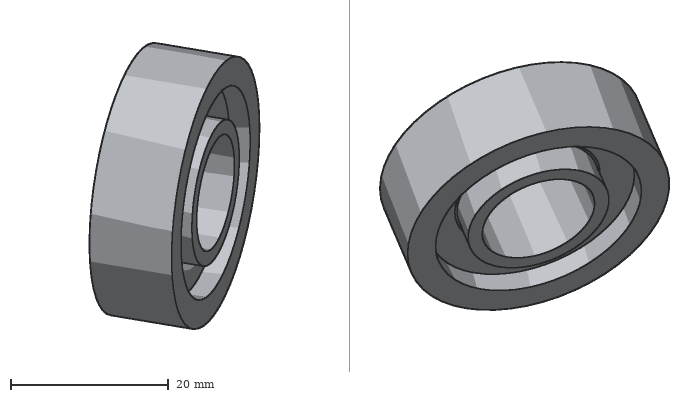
import cadquery as cq

outer_diameter = 35.0
bore_diameter = 15.0
width = 11.0
inner_ring_diameter = 18.83
outer_ring_bore = 27.5

pitch_diameter = (outer_diameter + bore_diameter) / 2
track_edge_diameter = 30.6
track_radius = 3.0
track_half_chord = (track_edge_diameter - pitch_diameter) / 2
web_thickness = 2 * (track_radius**2 - track_half_chord**2) ** 0.5


def ring(outside, inside, length):
    """Make a plain ring around X, centred on the YZ plane."""
    return (
        cq.Workplane("YZ", origin=(-length / 2, 0, 0))
        .circle(outside / 2)
        .circle(inside / 2)
        .extrude(length)
    )


inner_ring = ring(inner_ring_diameter, bore_diameter, width)
outer_ring = ring(outer_diameter, outer_ring_bore, width)

web = ring(track_edge_diameter, inner_ring_diameter, web_thickness)

ball_track = (
    cq.Workplane("XY")
    .center(0, pitch_diameter / 2)
    .circle(track_radius)
    .revolve(360, (0, -pitch_diameter / 2), (1, -pitch_diameter / 2))
)

result = inner_ring.union(outer_ring).union(web).union(ball_track)